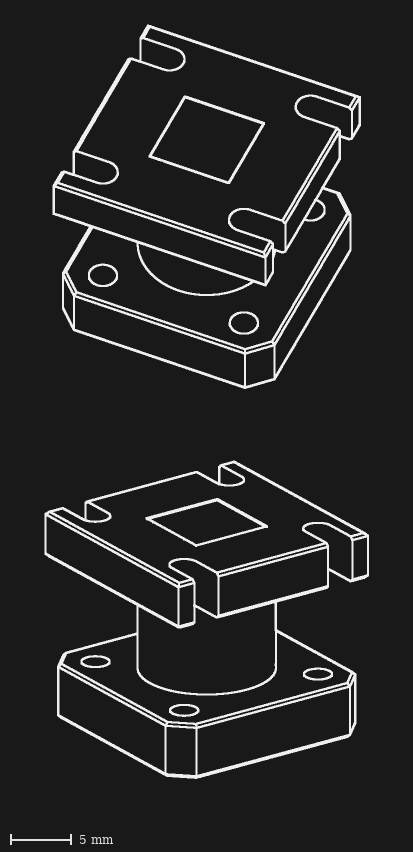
import cadquery as cq

side = 19.05
total_height = 17.77

base_thickness = 4.8
top_thickness = 4.0
column_diameter = 11.4
corner_cut = 1.83
edge_chamfer = 0.25

bolt_spacing_x = 12.69
bolt_spacing_y = 13.45
hole_diameter = 2.32
slot_width = 2.44

recess_side = 7.1
recess_depth = 0.1

top_underside = total_height - top_thickness
column_height = top_underside - base_thickness


def make_base():
    """Square flange with cut corners, chamfered rims and four through holes."""
    plate = cq.Workplane("XY").box(side, side, base_thickness, centered=(True, True, False))
    plate = plate.edges("|Z").chamfer(corner_cut)
    plate = plate.faces("<Z or >Z").edges().chamfer(edge_chamfer)
    holes = (
        cq.Workplane("XY")
        .rect(bolt_spacing_x, bolt_spacing_y, forConstruction=True)
        .vertices()
        .circle(hole_diameter / 2)
        .extrude(base_thickness)
    )
    return plate.cut(holes)


def make_slot(direction, y):
    """Round-ended cutter centred on y, open through the side in the given X direction."""
    end_x = direction * bolt_spacing_x / 2
    opening_x = direction * side / 2
    plane = cq.Workplane("XY", origin=(0, 0, top_underside))
    round_end = plane.center(end_x, y).circle(slot_width / 2).extrude(top_thickness)
    channel = (
        plane.center((end_x + opening_x) / 2, y)
        .rect(abs(opening_x - end_x), slot_width)
        .extrude(top_thickness)
    )
    return round_end.union(channel)


def make_top():
    """Square flange with chamfered rims, four side slots and a square recess."""
    plate = (
        cq.Workplane("XY", origin=(0, 0, top_underside))
        .box(side, side, top_thickness, centered=(True, True, False))
        .faces("<Z or >Z")
        .edges()
        .chamfer(edge_chamfer)
    )
    for direction in (-1, 1):
        for y in (-bolt_spacing_y / 2, bolt_spacing_y / 2):
            plate = plate.cut(make_slot(direction, y))
    recess = (
        cq.Workplane("XY", origin=(0, 0, total_height - recess_depth))
        .rect(recess_side, recess_side)
        .extrude(recess_depth)
    )
    return plate.cut(recess)


column = (
    cq.Workplane("XY", origin=(0, 0, base_thickness))
    .circle(column_diameter / 2)
    .extrude(column_height)
)
result = make_base().union(column).union(make_top())